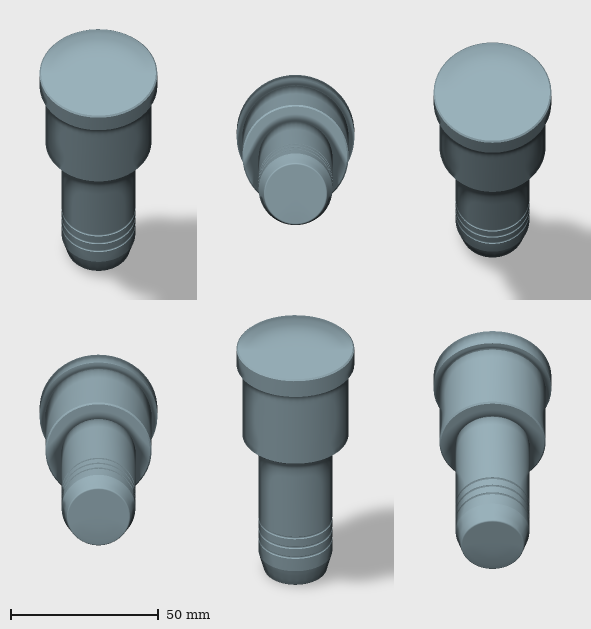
import cadquery as cq
import math

total_length = 90.0
head_diameter = 40.0
head_height = 6.9
head_chamfer = 0.5
body_diameter = 36.0
body_end_depth = 36.0
body_chamfer = 0.5
shank_diameter = 25.0

undercut_width = 1.0
neck_depth = 0.5

groove_count = 3
groove_width = 1.0
first_groove_top = 69.0
last_groove_top = 77.0
groove_pitch = (last_groove_top - first_groove_top) / (groove_count - 1)

tip_length = 6.9
tip_fillet = 0.5
tip_angle = 15.0

top_z = total_length
head_bottom_z = top_z - head_height
body_bottom_z = top_z - body_end_depth


def cylinder(diameter, bottom_z, upper_z):
    """Solid cylinder on the Z axis between two heights."""
    return cq.Workplane("XY").workplane(offset=bottom_z).circle(diameter / 2).extrude(upper_z - bottom_z)


def cut_round_groove(part, diameter, width, upper_z):
    """Cut a half-round ring groove into a cylinder, running down from upper_z."""
    ring = (
        cq.Workplane("XZ")
        .center(diameter / 2, upper_z - width / 2)
        .circle(width / 2)
        .revolve(360, (-diameter / 2, 0, 0), (-diameter / 2, 1, 0))
    )
    return part.cut(ring)


def cut_square_groove(part, diameter, depth, width, upper_z):
    """Cut a square ring groove into a cylinder, running down from upper_z."""
    ring = cylinder(diameter, upper_z - width, upper_z)
    core = cylinder(diameter - 2 * depth, upper_z - width, upper_z)
    return part.cut(ring.cut(core))


head = cylinder(head_diameter, head_bottom_z, top_z).faces(">Z").chamfer(head_chamfer)

body = cylinder(body_diameter, body_bottom_z, head_bottom_z).faces("<Z").chamfer(body_chamfer)
body = cut_round_groove(body, body_diameter, undercut_width, head_bottom_z)

tip_radius = shank_diameter / 2 - tip_length * math.tan(math.radians(tip_angle))
shank = (
    cq.Workplane("XZ")
    .polyline([
        (0, 0),
        (tip_radius, 0),
        (shank_diameter / 2, tip_length),
        (shank_diameter / 2, body_bottom_z),
        (0, body_bottom_z),
    ])
    .close()
    .revolve(360, (0, 0, 0), (0, 1, 0))
    .faces("<Z")
    .edges()
    .fillet(tip_fillet)
)
shank = cut_square_groove(shank, shank_diameter, neck_depth, undercut_width, body_bottom_z)
for i in range(groove_count):
    groove_top_z = top_z - first_groove_top - i * groove_pitch
    shank = cut_round_groove(shank, shank_diameter, groove_width, groove_top_z)

result = head.union(body).union(shank)